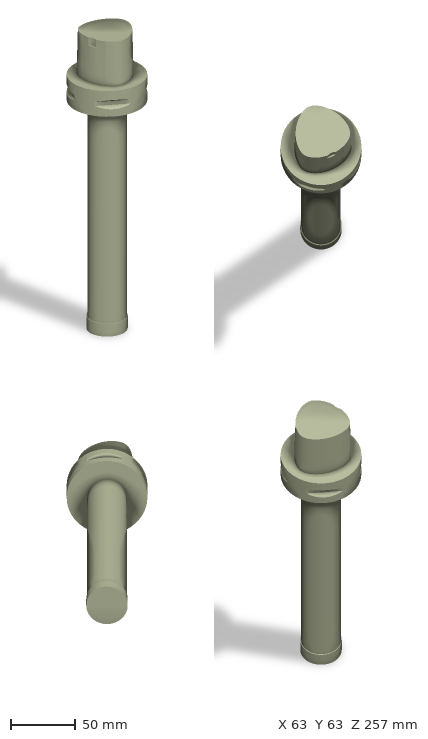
import cadquery as cq
import math

TOTAL_LENGTH = 257.0
HEAD_HEIGHT = 11.0
HEAD_DIAMETER = 32.5
SHANK_DIAMETER = 30.8
FLANGE_DIAMETER = 63.0
FLANGE_HEIGHT = 22.0
TAPER_HEIGHT = 38.0
FLANGE_TOP = TOTAL_LENGTH - TAPER_HEIGHT
FLANGE_BOTTOM = FLANGE_TOP - FLANGE_HEIGHT

TAPER_BASE_WIDTH = 44.5
TAPER_BASE_RADIUS = TAPER_BASE_WIDTH / 2
TAPER_RATIO = 1 / 20
TAPER_TOP_RADIUS = TAPER_BASE_RADIUS - TAPER_HEIGHT * TAPER_RATIO / 2
LOBE_HEIGHT = 1.5
LOBE_COUNT = 3
LOBE_PITCH = 360 / LOBE_COUNT
FLANK_HALF_ANGLE = 22.0

NOTCH_HEIGHT = 6.7
NOTCH_RADIUS = 7.7
NOTCH_DEPTH = 1.0

SLOT_COUNT = 4
SLOT_FIRST_ANGLE = 45.0
SLOT_CENTRE_Z = FLANGE_TOP - 11.8
SLOT_FLOOR_DISTANCE = 28.0
SLOT_FLOOR_WIDTH = 3.3
SLOT_MOUTH_WIDTH = 8.0


def lobe_point(mean_radius, degrees):
    """Point of a constant-width curve whose outward normal has the given direction."""
    direction = math.radians(degrees)
    lobe_phase = LOBE_COUNT * math.radians(degrees - 90)
    support = mean_radius + LOBE_HEIGHT * math.cos(lobe_phase)
    slope = -LOBE_COUNT * LOBE_HEIGHT * math.sin(lobe_phase)
    x = support * math.cos(direction) - slope * math.sin(direction)
    y = support * math.sin(direction) + slope * math.cos(direction)
    return x, y


def lobe_edge(mean_radius, z, start, end, points=9):
    """Smooth piece of the polygon outline between two normal directions."""
    angles = [start + (end - start) * i / (points - 1) for i in range(points)]
    path = [cq.Vector(*lobe_point(mean_radius, angle), z) for angle in angles]
    tangents = [
        cq.Vector(-math.sin(math.radians(angle)), math.cos(math.radians(angle)), 0)
        for angle in (start, end)
    ]
    return cq.Edge.makeSpline(path, tangents=tangents)


def lobe_outline(mean_radius, z):
    """Closed outline of alternating flanks and lobes."""
    edges = []
    for i in range(LOBE_COUNT):
        flank_middle = -90 + i * LOBE_PITCH
        flank_start = flank_middle - FLANK_HALF_ANGLE
        flank_end = flank_middle + FLANK_HALF_ANGLE
        edges.append(lobe_edge(mean_radius, z, flank_start, flank_end))
        edges.append(lobe_edge(mean_radius, z, flank_end, flank_start + LOBE_PITCH))
    return cq.Wire.assembleEdges(edges)


def make_taper():
    base = lobe_outline(TAPER_BASE_RADIUS, FLANGE_TOP)
    top = lobe_outline(TAPER_TOP_RADIUS, TOTAL_LENGTH)
    return cq.Workplane(cq.Solid.makeLoft([base, top], True))


def make_notch_cutter():
    floor_y = -(TAPER_TOP_RADIUS - LOBE_HEIGHT - NOTCH_DEPTH)
    return (
        cq.Workplane("XY", origin=(0, floor_y - NOTCH_RADIUS, TOTAL_LENGTH - NOTCH_HEIGHT))
        .circle(NOTCH_RADIUS)
        .extrude(NOTCH_HEIGHT)
    )


def make_slot_cutter(angle):
    """Trapezoid groove running across the rim, its middle at the given angle."""
    rim = FLANGE_DIAMETER / 2
    profile = [
        (SLOT_FLOOR_DISTANCE, SLOT_CENTRE_Z - SLOT_FLOOR_WIDTH / 2),
        (rim, SLOT_CENTRE_Z - SLOT_MOUTH_WIDTH / 2),
        (rim, SLOT_CENTRE_Z + SLOT_MOUTH_WIDTH / 2),
        (SLOT_FLOOR_DISTANCE, SLOT_CENTRE_Z + SLOT_FLOOR_WIDTH / 2),
    ]
    return (
        cq.Workplane("XZ")
        .polyline(profile)
        .close()
        .extrude(rim, both=True)
        .rotate((0, 0, 0), (0, 0, 1), angle)
    )


def make_holder():
    """Shank, flange and polygon taper as one solid."""
    shank = (
        cq.Workplane("XY", origin=(0, 0, HEAD_HEIGHT))
        .circle(SHANK_DIAMETER / 2)
        .extrude(FLANGE_BOTTOM - HEAD_HEIGHT)
    )
    flange = (
        cq.Workplane("XY", origin=(0, 0, FLANGE_BOTTOM))
        .circle(FLANGE_DIAMETER / 2)
        .extrude(FLANGE_HEIGHT)
    )
    for i in range(SLOT_COUNT):
        flange = flange.cut(make_slot_cutter(SLOT_FIRST_ANGLE + i * 360 / SLOT_COUNT))
    taper = make_taper().cut(make_notch_cutter())
    return shank.union(flange).union(taper)


def make_head():
    """Plain disc seated on the lower end of the shank."""
    return cq.Workplane("XY").circle(HEAD_DIAMETER / 2).extrude(HEAD_HEIGHT)


holder = make_holder()
head = make_head()

result = cq.Compound.makeCompound([holder.val(), head.val()])